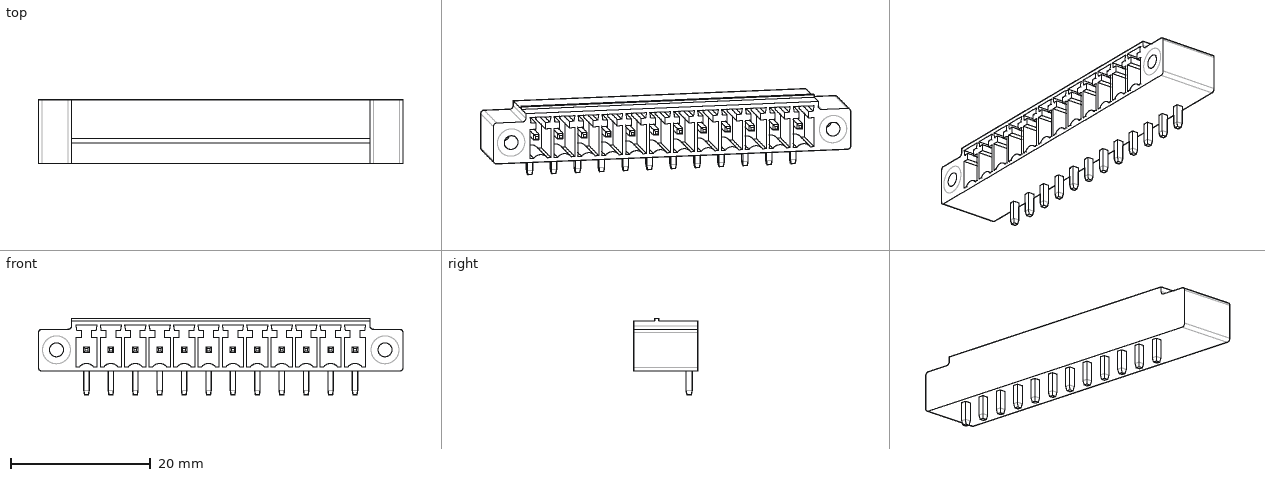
import cadquery as cq

LENGTH = 52.3
DEPTH = 9.2
FLANGE_HEIGHT = 6.0
HOUSING_HEIGHT = 7.2
FLANGE_LENGTH = 4.75
HOUSING_LENGTH = LENGTH - 2 * FLANGE_LENGTH
CORNER_RADIUS = 0.5

RIB_FRONT = 3.0
RIB_WIDTH = 0.6
RIB_HEIGHT = 0.35

CONTACT_COUNT = 12
PITCH = 3.5
CONTACT_Z = 3.05

POCKET_WIDTH = 3.05
POCKET_DEPTH = 7.0
POCKET_FLOOR_Z = 0.6
POCKET_SHOULDER_Z = 4.85
KEY_BOTTOM_Z = 5.8
KEY_TOP_Z = 6.6
KEY_BOTTOM_WIDTH = 2.75
NECK_WIDTH = 1.4
FLOOR_BUMP_WIDTH = 2.0
FLOOR_BUMP_HEIGHT = 0.5

PIN_SIZE = 0.8
PIN_TIP_SIZE = 0.4
PIN_TIP_LENGTH = 0.5
PIN_FRONT = 2.5
LEG_THICKNESS = 0.95
LEG_LENGTH = 3.4
LEG_TIP_LENGTH = 0.65
LEG_TIP_WIDTH = 0.6
LEG_TIP_THICKNESS = 0.65
LEG_BACK_OFFSET = 1.25
LEG_Y = DEPTH - LEG_BACK_OFFSET

INSERT_TO_CONTACT = 4.3
INSERT_SPACING = (CONTACT_COUNT - 1) * PITCH + 2 * INSERT_TO_CONTACT
INSERT_DIAMETER = 4.0
INSERT_HOLE_DIAMETER = 2.0
INSERT_DEPTH = 6.0


def extrude_back(outline, start, length):
    """Extrude a closed XZ outline from Y = start towards +Y."""
    return outline.extrude(-length).translate((0, start, 0))


def make_housing():
    """Long block with a lower rounded flange at each end and a rib along its top."""
    half_length = LENGTH / 2
    half_housing = HOUSING_LENGTH / 2
    flange = cq.Workplane("XY").box(LENGTH, DEPTH, FLANGE_HEIGHT, centered=(True, False, False))
    raised = cq.Workplane("XY").box(HOUSING_LENGTH, DEPTH, HOUSING_HEIGHT, centered=(True, False, False))
    body = flange.union(raised)
    for x in (-half_length, half_length):
        bottom_edge = cq.selectors.NearestToPointSelector((x, DEPTH / 2, 0))
        body = body.edges(bottom_edge).fillet(CORNER_RADIUS)
        top_edge = cq.selectors.NearestToPointSelector((x, DEPTH / 2, FLANGE_HEIGHT))
        body = body.edges(top_edge).fillet(CORNER_RADIUS)
    for x in (-half_housing, half_housing):
        inner_edge = cq.selectors.NearestToPointSelector((x, DEPTH / 2, FLANGE_HEIGHT))
        body = body.edges(inner_edge).fillet(CORNER_RADIUS)
    rib = cq.Workplane("XY").box(HOUSING_LENGTH, RIB_WIDTH, RIB_HEIGHT, centered=(True, False, False))
    return body.union(rib.translate((0, RIB_FRONT, HOUSING_HEIGHT)))


def make_pocket():
    """Keyed opening with an arched floor, open at the mating face."""
    half_pocket = POCKET_WIDTH / 2
    half_key = KEY_BOTTOM_WIDTH / 2
    half_neck = NECK_WIDTH / 2
    half_bump = FLOOR_BUMP_WIDTH / 2
    outline = (
        cq.Workplane("XZ")
        .moveTo(-half_pocket, POCKET_FLOOR_Z)
        .lineTo(-half_bump, POCKET_FLOOR_Z)
        .threePointArc((0, POCKET_FLOOR_Z + FLOOR_BUMP_HEIGHT), (half_bump, POCKET_FLOOR_Z))
        .lineTo(half_pocket, POCKET_FLOOR_Z)
        .lineTo(half_pocket, POCKET_SHOULDER_Z)
        .lineTo(half_neck, POCKET_SHOULDER_Z)
        .lineTo(half_neck, KEY_BOTTOM_Z)
        .lineTo(half_key, KEY_BOTTOM_Z)
        .lineTo(half_pocket, KEY_TOP_Z)
        .lineTo(-half_pocket, KEY_TOP_Z)
        .lineTo(-half_key, KEY_BOTTOM_Z)
        .lineTo(-half_neck, KEY_BOTTOM_Z)
        .lineTo(-half_neck, POCKET_SHOULDER_Z)
        .lineTo(-half_pocket, POCKET_SHOULDER_Z)
        .close()
    )
    return extrude_back(outline, 0, POCKET_DEPTH)


def make_contact():
    """Right-angle contact with tapered ends, centred on X = 0."""
    shank_front = PIN_FRONT + PIN_TIP_LENGTH
    shank = extrude_back(cq.Workplane("XZ").rect(PIN_SIZE, PIN_SIZE), shank_front, LEG_Y - shank_front)
    tip = (
        cq.Workplane("XZ", origin=(0, shank_front, 0))
        .rect(PIN_SIZE, PIN_SIZE)
        .workplane(offset=PIN_TIP_LENGTH)
        .rect(PIN_TIP_SIZE, PIN_TIP_SIZE)
        .loft(ruled=True)
    )
    pin = shank.union(tip).translate((0, 0, CONTACT_Z))
    leg_straight_end = LEG_TIP_LENGTH - LEG_LENGTH
    leg = (
        cq.Workplane("XY", origin=(0, LEG_Y, leg_straight_end))
        .rect(PIN_SIZE, LEG_THICKNESS)
        .extrude(CONTACT_Z - leg_straight_end)
    )
    leg_tip = (
        cq.Workplane("XY", origin=(0, LEG_Y, -LEG_LENGTH))
        .rect(LEG_TIP_WIDTH, LEG_TIP_THICKNESS)
        .workplane(offset=LEG_TIP_LENGTH)
        .rect(PIN_SIZE, LEG_THICKNESS)
        .loft(ruled=True)
    )
    return pin.union(leg).union(leg_tip)


def make_insert():
    ring = cq.Workplane("XZ").circle(INSERT_DIAMETER / 2).circle(INSERT_HOLE_DIAMETER / 2)
    return extrude_back(ring, 0, INSERT_DEPTH)


def make_insert_bore():
    return extrude_back(cq.Workplane("XZ").circle(INSERT_DIAMETER / 2), 0, INSERT_DEPTH)


result = make_housing()

pocket = make_pocket()
contact = make_contact()
for index in range(CONTACT_COUNT):
    contact_x = (index - (CONTACT_COUNT - 1) / 2) * PITCH
    result = result.cut(pocket.translate((contact_x, 0, 0)))
    result = result.union(contact.translate((contact_x, 0, 0)))

insert_xs = (-INSERT_SPACING / 2, INSERT_SPACING / 2)
for insert_x in insert_xs:
    result = result.cut(make_insert_bore().translate((insert_x, 0, CONTACT_Z)))

for insert_x in insert_xs:
    result = result.union(make_insert().translate((insert_x, 0, CONTACT_Z)), clean=False)